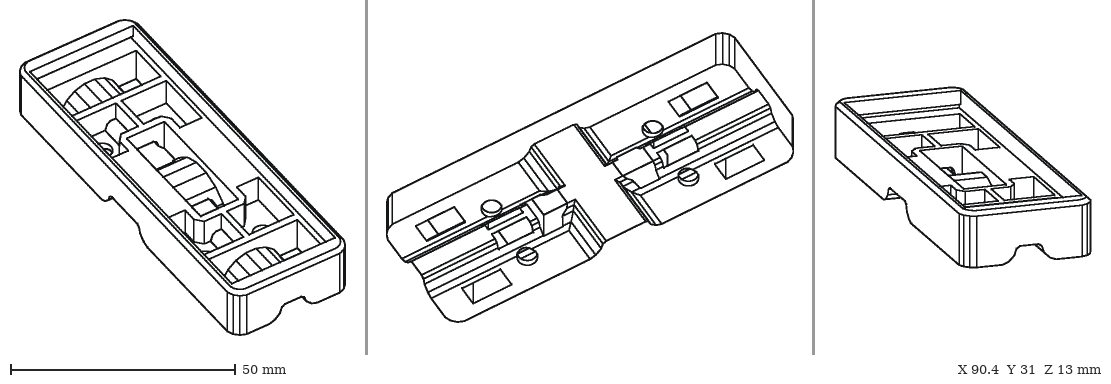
import cadquery as cq
import math

LENGTH = 90.4
WIDTH = 31.0
HEIGHT = 13.0
CORNER = 3.1
TOP_CHAMFER = 1.0

TURN = math.radians(22.5)
FLAT_SPAN = math.sin(TURN) + math.sin(2 * TURN) + math.sin(3 * TURN)
FLAT_NEAR = math.sin(TURN) / FLAT_SPAN
FLAT_FAR = (math.sin(TURN) + math.sin(2 * TURN)) / FLAT_SPAN

TRAY_LENGTH = 82.4
TRAY_WIDTH = 27.5
TRAY_DEPTH = 4.3
TRAY_FLOOR = HEIGHT - TRAY_DEPTH
UNDERCUT_REACH = 1.0
UNDERCUT_HEIGHT = 1.1

GROOVE_DEPTH = 4.0
CROSS_GROOVE_ROOF = 10.3
LONG_GROOVE_ROOF = 4.3
GROOVE_SIDE = ((0, GROOVE_DEPTH), (0.8, 3.4), (1.1, 2.7), (1.3, 2.0), (2.7, 0.5), (4.2, 0))

CENTRE_WINDOW_LENGTH = 30.2
CENTRE_WINDOW_WIDTH = 10.0
CENTRE_SADDLE_RADIUS = 11.7
CENTRE_SADDLE_AXIS_Z = -5.0
END_WINDOW_LENGTH = 10.0
END_WINDOW_WIDTH = 24.8
END_WINDOW_X = 32.9
END_SADDLE_RADIUS = 8.0
END_SADDLE_AXIS_Z = -2.3
SADDLE_FACETS = 18

POCKET_FLOOR = 1.8
POCKET_OUTER_X = 26.0
POCKET_MIDDLE_X = 17.0
POCKET_INNER_X = 11.6
POCKET_OUTER_Y = 12.7
POCKET_STEP_Y = 6.9
POCKET_BEVEL_X = 1.8
POCKET_BEVEL_Y = 1.5
DIVIDER_THICKNESS = 1.45
HOLE_DIAMETER = 4.6
HOLE_X = 21.0
HOLE_Y = 7.7


def box(length, width, bottom, top, x=0.0):
    """Box centred on (x, 0) between two heights."""
    return (
        cq.Workplane("XY", origin=(x, 0, bottom))
        .rect(length, width)
        .extrude(top - bottom)
    )


def eased_corner(corner, start, end, size):
    """Points from the leg towards start to the leg towards end of a corner cut by three flats."""
    legs = ((1, 0), (FLAT_FAR, FLAT_NEAR), (FLAT_NEAR, FLAT_FAR), (0, 1))
    return [
        (
            corner[0] + size * (a * start[0] + b * end[0]),
            corner[1] + size * (a * start[1] + b * end[1]),
        )
        for a, b in legs
    ]


def outer_block():
    """Block with eased vertical corners and a chamfered top rim."""
    x = LENGTH / 2
    y = WIDTH / 2
    outline = []
    outline += eased_corner((x, y), (0, -1), (-1, 0), CORNER)
    outline += eased_corner((-x, y), (1, 0), (0, -1), CORNER)
    outline += eased_corner((-x, -y), (0, 1), (1, 0), CORNER)
    outline += eased_corner((x, -y), (-1, 0), (0, 1), CORNER)
    block = cq.Workplane("XY").polyline(outline).close().extrude(HEIGHT)
    return block.faces(">Z").chamfer(TOP_CHAMFER)


def groove(plane, roof_width, length):
    """Groove with flared sides, centred along the plane normal."""
    right_side = [(roof_width / 2 + beyond, height) for beyond, height in GROOVE_SIDE]
    left_side = [(-u, v) for u, v in reversed(right_side)]
    return cq.Workplane(plane).polyline(right_side + left_side).close().extrude(length / 2, both=True)


def saddle(plane, radius, axis_z, length, x=0.0):
    """Faceted cylinder with a flat facet on top."""
    half_step = math.pi / SADDLE_FACETS
    points = []
    for i in range(SADDLE_FACETS):
        angle = (2 * i + 1) * half_step
        points.append((radius * math.sin(angle), radius * math.cos(angle)))
    bar = cq.Workplane(plane, origin=(x, 0, axis_z)).polyline(points).close()
    return bar.extrude(length / 2, both=True)


def tray():
    """Open tray whose floor runs on under the lip at both ends."""
    undercut_length = TRAY_LENGTH + 2 * UNDERCUT_REACH
    undercut = box(undercut_length, TRAY_WIDTH, TRAY_FLOOR, TRAY_FLOOR + UNDERCUT_HEIGHT)
    return box(TRAY_LENGTH, TRAY_WIDTH, TRAY_FLOOR, HEIGHT).union(undercut)


def centre_window():
    """Window cutter that leaves a saddle running across the width."""
    window = box(CENTRE_WINDOW_LENGTH, CENTRE_WINDOW_WIDTH, 0, TRAY_FLOOR)
    return window.cut(saddle("XZ", CENTRE_SADDLE_RADIUS, CENTRE_SADDLE_AXIS_Z, CENTRE_WINDOW_WIDTH))


def end_window(x):
    """Window cutter that leaves a saddle running along the length."""
    window = box(END_WINDOW_LENGTH, END_WINDOW_WIDTH, 0, TRAY_FLOOR, x)
    return window.cut(saddle("YZ", END_SADDLE_RADIUS, END_SADDLE_AXIS_Z, END_WINDOW_LENGTH, x))


def screw_pocket(side_x, side_y):
    """L-shaped pocket with a bevelled inner corner and a screw hole through its floor."""
    divider_y = DIVIDER_THICKNESS / 2
    outline = [
        (POCKET_OUTER_X, divider_y),
        (POCKET_OUTER_X, POCKET_OUTER_Y),
        (POCKET_INNER_X, POCKET_OUTER_Y),
        (POCKET_INNER_X, POCKET_STEP_Y),
        (POCKET_MIDDLE_X - POCKET_BEVEL_X, POCKET_STEP_Y),
        (POCKET_MIDDLE_X, POCKET_STEP_Y - POCKET_BEVEL_Y),
        (POCKET_MIDDLE_X, divider_y),
    ]
    placed = [(side_x * x, side_y * y) for x, y in outline]
    pocket = (
        cq.Workplane("XY", origin=(0, 0, POCKET_FLOOR))
        .polyline(placed)
        .close()
        .extrude(TRAY_FLOOR - POCKET_FLOOR)
    )
    hole = (
        cq.Workplane("XY")
        .center(side_x * HOLE_X, side_y * HOLE_Y)
        .circle(HOLE_DIAMETER / 2)
        .extrude(TRAY_FLOOR)
    )
    return pocket.union(hole)


result = outer_block().cut(tray())
result = result.cut(centre_window())
for side_x in (-1, 1):
    result = result.cut(end_window(side_x * END_WINDOW_X))
    for side_y in (-1, 1):
        result = result.cut(screw_pocket(side_x, side_y))
result = result.cut(groove("XZ", CROSS_GROOVE_ROOF, WIDTH))
result = result.cut(groove("YZ", LONG_GROOVE_ROOF, LENGTH))